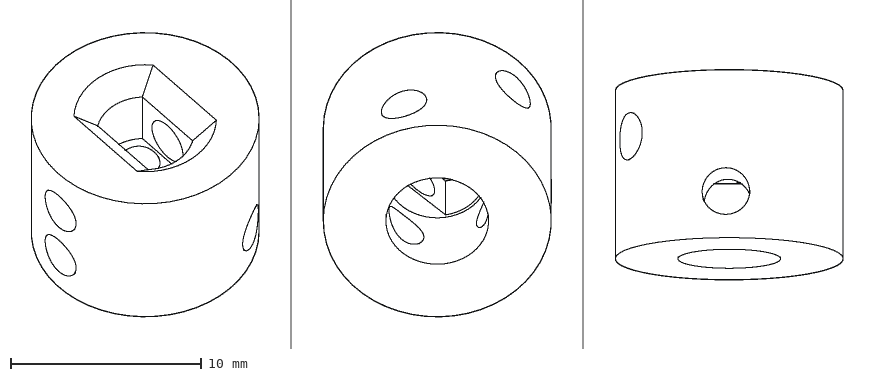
import cadquery as cq

body_diameter = 12.0
body_height = 9.0

key_diameter = 5.1
key_flat_width = 3.1
flare_width = 1.2
flare_depth = 1.2

shaft_diameter = 5.4
shaft_depth = 4.5

radial_hole_diameter = 2.5
cross_hole_height = 6.02
screw_height = 2.5
screw_angles = (30, 150, 270)


def double_flat_outline(height, diameter, flat_width):
    """Closed wire of a circle cut by two flats parallel to X."""
    half_flat = flat_width / 2
    radius = diameter / 2
    half_chord = (radius**2 - half_flat**2) ** 0.5
    return (
        cq.Workplane("XY", origin=(0, 0, height))
        .moveTo(-half_chord, -half_flat)
        .lineTo(half_chord, -half_flat)
        .threePointArc((radius, 0), (half_chord, half_flat))
        .lineTo(-half_chord, half_flat)
        .threePointArc((-radius, 0), (-half_chord, -half_flat))
        .close()
    )


def key_bore():
    """Double-flat bore above the shaft bore."""
    outline = double_flat_outline(shaft_depth, key_diameter, key_flat_width)
    return outline.extrude(body_height - shaft_depth)


def key_flare():
    """Tapered mouth that widens the double-flat bore at the top face."""
    throat = double_flat_outline(body_height - flare_depth, key_diameter, key_flat_width)
    mouth = double_flat_outline(
        body_height, key_diameter + 2 * flare_width, key_flat_width + 2 * flare_width
    )
    wires = [throat.wires().val(), mouth.wires().val()]
    return cq.Workplane(obj=cq.Solid.makeLoft(wires, True))


def radial_hole(angle, height):
    """Round hole from the axis outwards, at an angle in degrees from +X."""
    hole = cq.Workplane("YZ").center(0, height).circle(radial_hole_diameter / 2).extrude(body_diameter)
    return hole.rotate((0, 0, 0), (0, 0, 1), angle)


body = cq.Workplane("XY").circle(body_diameter / 2).extrude(body_height)
shaft_bore = cq.Workplane("XY").circle(shaft_diameter / 2).extrude(shaft_depth)
result = body.cut(shaft_bore).cut(key_bore()).cut(key_flare())

for angle in (90, 270):
    result = result.cut(radial_hole(angle, cross_hole_height))

for angle in screw_angles:
    result = result.cut(radial_hole(angle, screw_height))